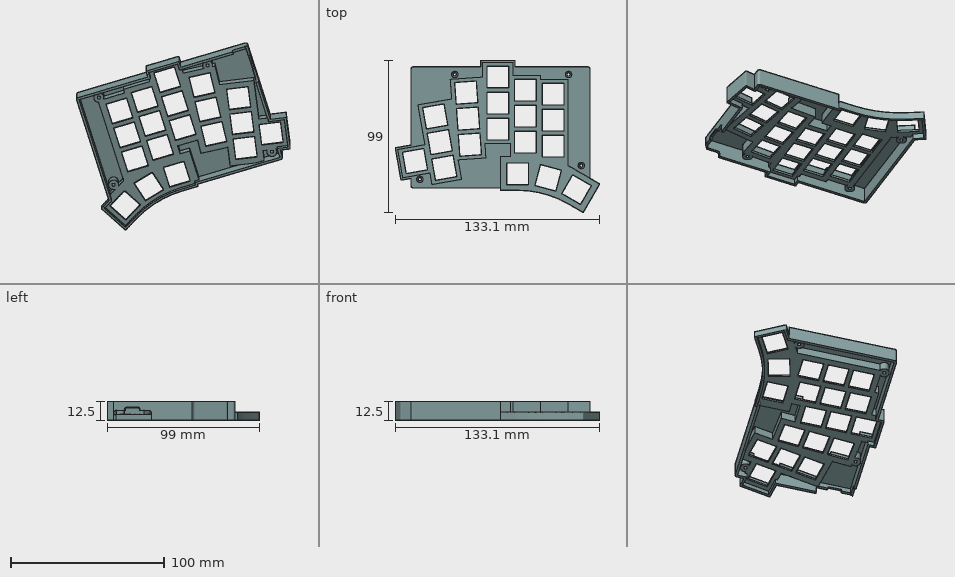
import cadquery as cq
import math


TOTAL_HEIGHT = 12.5
BOARD_RECESS = 3.9
PLATE_TOP = 5.5
ROOF_THICKNESS = 1.5

COLUMN_PITCH = 18.0
ROW_PITCH = 17.0
SWITCH_HOLE = 14.0
WELL_HALF_X = 9.81
WELL_HALF_Y = 9.35
WELL_WALL = 1.45
TRAY_HALF_X = WELL_HALF_X + WELL_WALL
TRAY_HALF_Y = WELL_HALF_Y + WELL_WALL
TRAY_CORNER_RADIUS = 0.5

PINKY_COLUMN = (-37.83, -25.43, 10.0)
TILTED_COLUMNS = [PINKY_COLUMN, (-19.37, -10.12, 4.0)]
COLUMNS = TILTED_COLUMNS + [
    (0.0, 0.0, 0.0),
    (COLUMN_PITCH, -ROW_PITCH / 2, 0.0),
    (2 * COLUMN_PITCH, -11.1, 0.0),
]
WEDGE_SHIFT = 3.0
OUTER_KEY_DROP = 9.35

THUMB_X = 12.95
THUMB_Y = -46.1
THUMB_RADIUS = 76.77
THUMB_STEP = 15.0
THUMB_KEYS = 3
THUMB_CENTRE_Y = THUMB_Y - THUMB_RADIUS
THUMB_SWEEP = THUMB_STEP * (THUMB_KEYS - 1)

BLOCK_LEFT = -56.6
BLOCK_RIGHT = 60.15
BLOCK_FRONT = -55.4
BLOCK_BACK = 23.7
BLOCK_WALL = 1.6
BLOCK_CORNER_RADIUS = 1.6

SCREW_POINTS = [(-28.05, 18.65), (46.1, 18.65), (54.4, -40.7), (-50.8, -49.65)]
SCREW_HOLE = 2.0
SCREW_HEAD = 4.2
SCREW_HEAD_ANGLE = 90
SCREW_BOSS = 6.5

OPENING_FRONT = -0.75
OPENING_BACK = 23.55
OPENING_TOP = 6.5
PORT_Y = 11.6
PORT_WIDTH = 9.2
PORT_TOP = 8.25
PORT_CHAMFER = 0.45
PORT_CHAMFER_ANGLE = 45
OPENING_RADIUS = 1.45
PORT_RADIUS = 1.0

SLOT_LENGTH = 10.0


def place(origin, dx, dy):
    """Point reached from a tilted key frame by local offsets; it keeps the tilt."""
    x, y, tilt = origin
    c = math.cos(math.radians(tilt))
    s = math.sin(math.radians(tilt))
    return (x + dx * c - dy * s, y + dx * s + dy * c, tilt)


def on_thumb_arc(radius, angle):
    """Point at an angle clockwise from straight above the thumb arc centre."""
    a = math.radians(angle)
    return (THUMB_X + radius * math.sin(a), THUMB_CENTRE_Y + radius * math.cos(a))


FINGER_KEYS = [place(column, 0, row * ROW_PITCH) for column in COLUMNS for row in (1, 0, -1)]
OUTER_KEY = place(PINKY_COLUMN, -COLUMN_PITCH, -OUTER_KEY_DROP)
BACK_KEY = (0.0, ROW_PITCH, 0.0)
FINGER_KEYS.append(OUTER_KEY)
WEDGE_FILLERS = [place(column, WEDGE_SHIFT, row * ROW_PITCH) for column in TILTED_COLUMNS
                 for row in (1, 0)]
WELL_CENTRES = FINGER_KEYS + WEDGE_FILLERS
THUMB_POSITIONS = [on_thumb_arc(THUMB_RADIUS, i * THUMB_STEP) + (-i * THUMB_STEP,)
                   for i in range(THUMB_KEYS)]


def key_box(key, half_x, half_y, z_low, z_high):
    """Upright box centred on a key and turned with it."""
    x, y, tilt = key
    box = cq.Workplane("XY").rect(2 * half_x, 2 * half_y).extrude(z_high - z_low)
    return box.rotate((0, 0, 0), (0, 0, 1), tilt).translate((x, y, z_low))


def span_box(x_low, x_high, y_low, y_high, z_low, z_high):
    """Box between two corners."""
    box = cq.Workplane("XY").box(x_high - x_low, y_high - y_low, z_high - z_low, centered=False)
    return box.translate((x_low, y_low, z_low))


def tray_wall_box(key):
    """Full-height box around one key, with rounded upright corners."""
    box = key_box(key, TRAY_HALF_X, TRAY_HALF_Y, 0, TOTAL_HEIGHT)
    return box.edges("|Z").fillet(TRAY_CORNER_RADIUS)


def thumb_outline(half_x, half_y):
    """Closed outline around the thumb keys: curved along the front, straight-sided at the back."""
    outer = (THUMB_RADIUS + half_y) / math.cos(math.radians(THUMB_SWEEP / 2))
    inner = THUMB_RADIUS - half_y
    end_key = THUMB_POSITIONS[-1]
    return (
        cq.Workplane("XY")
        .moveTo(THUMB_X - half_x, THUMB_Y + half_y)
        .lineTo(*on_thumb_arc(outer, THUMB_SWEEP / 2))
        .lineTo(*place(end_key, half_x, half_y)[:2])
        .lineTo(*place(end_key, half_x, -half_y)[:2])
        .lineTo(*on_thumb_arc(inner, THUMB_SWEEP))
        .threePointArc(on_thumb_arc(inner, THUMB_SWEEP / 2), on_thumb_arc(inner, 0))
        .lineTo(THUMB_X - half_x, THUMB_Y - half_y)
        .close()
    )


def thumb_tray(height):
    """Fan with rounded corners, standing on Z = 0."""
    core = thumb_outline(TRAY_HALF_X - TRAY_CORNER_RADIUS, TRAY_HALF_Y - TRAY_CORNER_RADIUS)
    return core.offset2D(TRAY_CORNER_RADIUS, "arc").extrude(height)


def thumb_bridge(wall, z_low, z_high):
    """Area joining the two right-hand columns to the thumb tray, widened by a wall."""
    return span_box(
        THUMB_X - TRAY_HALF_X - wall,
        COLUMNS[-1][0] + WELL_HALF_X + wall,
        THUMB_Y,
        COLUMNS[-2][1] - ROW_PITCH - WELL_HALF_Y + wall,
        z_low,
        z_high,
    )


def outer_body():
    """Solid block with the two key trays that stick out of it and the thumb tray."""
    block = span_box(BLOCK_LEFT, BLOCK_RIGHT, BLOCK_FRONT, BLOCK_BACK, 0, TOTAL_HEIGHT)
    body = block.edges("|Z").fillet(BLOCK_CORNER_RADIUS)
    body = body.union(tray_wall_box(BACK_KEY)).union(tray_wall_box(OUTER_KEY))
    return body.union(thumb_tray(PLATE_TOP))


def key_wells():
    """Everything removed above the key plate."""
    wells = thumb_tray(TOTAL_HEIGHT - PLATE_TOP).translate((0, 0, PLATE_TOP))
    wells = wells.union(thumb_bridge(0, PLATE_TOP, TOTAL_HEIGHT))
    for key in WELL_CENTRES:
        wells = wells.union(key_box(key, WELL_HALF_X, WELL_HALF_Y, PLATE_TOP, TOTAL_HEIGHT))
    return wells


def block_interior(z_low, z_high):
    """Space between the four block walls."""
    return span_box(
        BLOCK_LEFT + BLOCK_WALL,
        BLOCK_RIGHT - BLOCK_WALL,
        BLOCK_FRONT + BLOCK_WALL,
        BLOCK_BACK - BLOCK_WALL,
        z_low,
        z_high,
    )


def board_recess():
    """Open underside below the key plate."""
    recess = block_interior(0, BOARD_RECESS)
    for key in (BACK_KEY, OUTER_KEY):
        recess = recess.union(key_box(key, WELL_HALF_X, WELL_HALF_Y, 0, BOARD_RECESS))
    return recess.union(thumb_outline(WELL_HALF_X, WELL_HALF_Y).extrude(BOARD_RECESS))


def roof_hollow():
    """Space above the board and around the walled wells, leaving the screw bosses."""
    ceiling = TOTAL_HEIGHT - ROOF_THICKNESS
    hollow = block_interior(BOARD_RECESS, ceiling)
    for key in WELL_CENTRES:
        hollow = hollow.cut(key_box(key, TRAY_HALF_X, TRAY_HALF_Y, 0, TOTAL_HEIGHT))
    hollow = hollow.cut(thumb_bridge(WELL_WALL, 0, TOTAL_HEIGHT))
    walled_fan = thumb_outline(TRAY_HALF_X + WELL_WALL, TRAY_HALF_Y + WELL_WALL).extrude(TOTAL_HEIGHT)
    bosses = cq.Workplane("XY").pushPoints(SCREW_POINTS).circle(SCREW_BOSS / 2).extrude(TOTAL_HEIGHT)
    return hollow.cut(walled_fan).cut(bosses)


def switch_holes():
    """Square openings through the plate at every key."""
    half = SWITCH_HOLE / 2
    holes = cq.Workplane("XY")
    for key in FINGER_KEYS + THUMB_POSITIONS:
        holes = holes.add(key_box(key, half, half, 0, PLATE_TOP))
    return holes.combine()


def wall_passage(y_centre, width, top, radius, depth, taper=0):
    """Round-topped passage cut inward from the left face; a taper narrows it with depth."""
    outline = cq.Sketch().rect(width, 2 * top).vertices().fillet(radius)
    passage = cq.Workplane("YZ").center(y_centre, 0).placeSketch(outline).extrude(depth, taper=taper)
    return passage.translate((BLOCK_LEFT, 0, 0))


def connector_opening():
    """Low wide opening with a higher port that is chamfered at the outer face."""
    centre = (OPENING_FRONT + OPENING_BACK) / 2
    width = OPENING_BACK - OPENING_FRONT
    opening = wall_passage(centre, width, OPENING_TOP, OPENING_RADIUS, BLOCK_WALL)
    port = wall_passage(PORT_Y, PORT_WIDTH, PORT_TOP, PORT_RADIUS, BLOCK_WALL)
    flare = wall_passage(
        PORT_Y,
        PORT_WIDTH + 2 * PORT_CHAMFER,
        PORT_TOP + PORT_CHAMFER,
        PORT_RADIUS + PORT_CHAMFER,
        PORT_CHAMFER,
        PORT_CHAMFER_ANGLE,
    )
    return opening.union(port).union(flare)


def back_slot():
    """Slot along the back wall, as tall as the board recess, with a rounded top at its closed end."""
    slot = span_box(
        BLOCK_LEFT,
        BLOCK_LEFT + SLOT_LENGTH,
        BLOCK_BACK - BLOCK_WALL,
        BLOCK_BACK,
        0,
        BOARD_RECESS,
    )
    return slot.edges("|Y and >X and >Z").fillet(OPENING_RADIUS)


def with_screw_holes(body):
    """Countersunk holes drilled from the roof."""
    roof = cq.Workplane("XY", origin=(0, 0, TOTAL_HEIGHT))
    return (
        body.copyWorkplane(roof)
        .pushPoints(SCREW_POINTS)
        .cskHole(SCREW_HOLE, SCREW_HEAD, SCREW_HEAD_ANGLE)
    )


case = outer_body()
for removed in (key_wells(), board_recess(), roof_hollow(), switch_holes(), connector_opening(), back_slot()):
    case = case.cut(removed)
result = with_screw_holes(case)